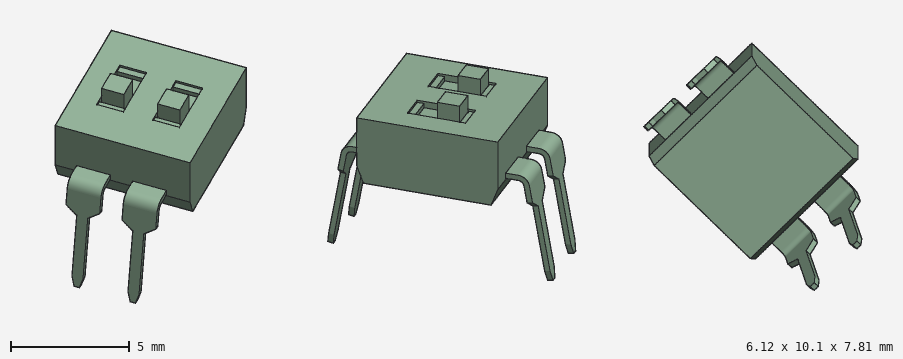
import cadquery as cq
import math


body_width = 6.12
body_length = 6.32
body_height = 3.07
taper_height = 0.8
taper_inset = 0.3

pitch = 2.54
row_offset = -0.05
position_xs = [row_offset - pitch / 2, row_offset + pitch / 2]

slot_width = 1.21
slot_length = 2.6
channel_length = 2.0
ledge_depth = 0.1
channel_depth = 0.3

slider_width = 1.01
slider_length = channel_length / 2
slider_rise = 0.7

pin_thickness = 0.25
pin_top = 1.1
pin_width = 1.53
blade_width = 0.5
tip_width = 0.24
bend_radius = 0.5
splay = math.radians(10)
pin_span = 10.09
pin_drop = 4.04
blade_length = 3.55
shoulder_length = 0.4
tip_length = 0.48


def make_body():
    """Housing profile in the YZ plane, tapered in along both lower long edges."""
    side = body_length / 2
    foot = side - taper_inset
    outline = [
        (-foot, 0),
        (foot, 0),
        (side, taper_height),
        (side, body_height),
        (-side, body_height),
        (-side, taper_height),
    ]
    return cq.Workplane("YZ").polyline(outline).close().extrude(body_width / 2, both=True)


def block(x, y, bottom, size):
    """Box centred on (x, y) and standing on the given height."""
    return cq.Workplane("XY").box(*size, centered=(True, True, False)).translate((x, y, bottom))


def make_slot(x):
    ledges = block(x, 0, body_height - ledge_depth, (slot_width, slot_length, ledge_depth))
    channel = block(x, 0, body_height - channel_depth, (slot_width, channel_length, channel_depth))
    return ledges.union(channel)


def make_slider(x):
    height = channel_depth + slider_rise
    size = (slider_width, slider_length, height)
    return block(x, -slider_length / 2, body_height - channel_depth, size)


def make_pin():
    """Pin on the +Y side, centred on X = 0."""
    down_y, down_z = math.sin(splay), -math.cos(splay)
    out_y, out_z = math.cos(splay), math.sin(splay)

    tip_y = pin_span / 2
    tip_z = pin_thickness * out_z - pin_drop
    inner_radius = bend_radius - pin_thickness
    bend_z = pin_top - bend_radius
    leg_length = (bend_z + bend_radius * out_z - tip_z) / -down_z
    bend_y = tip_y - leg_length * down_y - bend_radius * out_y
    mid_angle = (splay + math.pi / 2) / 2

    def on_bend(radius, angle):
        return (bend_y + radius * math.cos(angle), bend_z + radius * math.sin(angle))

    strip = (
        cq.Workplane("YZ")
        .moveTo(body_length / 2, pin_top)
        .lineTo(bend_y, pin_top)
        .threePointArc(on_bend(bend_radius, mid_angle), on_bend(bend_radius, splay))
        .lineTo(tip_y, tip_z)
        .lineTo(tip_y - pin_thickness * out_y, -pin_drop)
        .lineTo(*on_bend(inner_radius, splay))
        .threePointArc(on_bend(inner_radius, mid_angle), (bend_y, pin_top - pin_thickness))
        .lineTo(body_length / 2, pin_top - pin_thickness)
        .close()
        .extrude(pin_width / 2, both=True)
    )

    leg_plane = cq.Plane(origin=(0, tip_y, tip_z), xDir=(-1, 0, 0), normal=(0, out_y, out_z))
    for side in (-1, 1):
        edge = [
            (side * tip_width / 2, 0),
            (side * blade_width / 2, tip_length),
            (side * blade_width / 2, blade_length),
            (side * pin_width / 2, blade_length + shoulder_length),
            (side * pin_width / 2, 0),
        ]
        waste = cq.Workplane(leg_plane).polyline(edge).close().extrude(pin_thickness, both=True)
        strip = strip.cut(waste)
    return strip


result = make_body()
back_pin = make_pin()
front_pin = back_pin.mirror("XZ")
for x in position_xs:
    result = result.cut(make_slot(x)).union(make_slider(x))
    result = result.union(back_pin.translate((x, 0, 0)))
    result = result.union(front_pin.translate((x, 0, 0)))